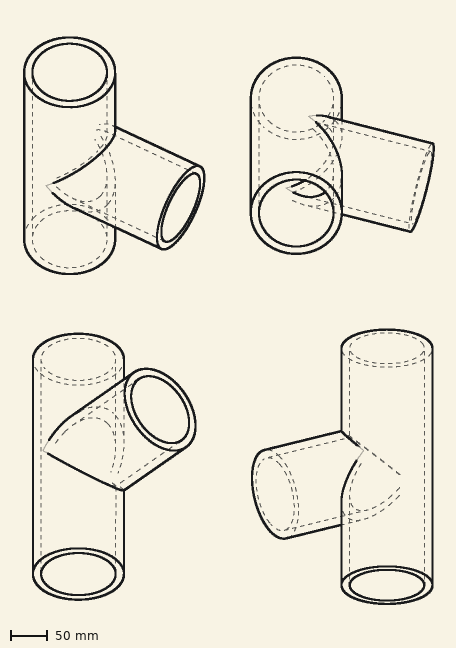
import cadquery as cq

run_length = 356.0
outer_diameter = 125.0
wall = 11.5
branch_reach = run_length / 2

outer_radius = outer_diameter / 2
bore_radius = outer_radius - wall


def tee_solid(radius):
    """Union of a run cylinder centred on the origin and a branch cylinder."""
    run = cq.Workplane("XY").circle(radius).extrude(run_length / 2, both=True)
    branch = cq.Workplane("YZ").circle(radius).extrude(branch_reach)
    return run.union(branch)


result = tee_solid(outer_radius).cut(tee_solid(bore_radius))